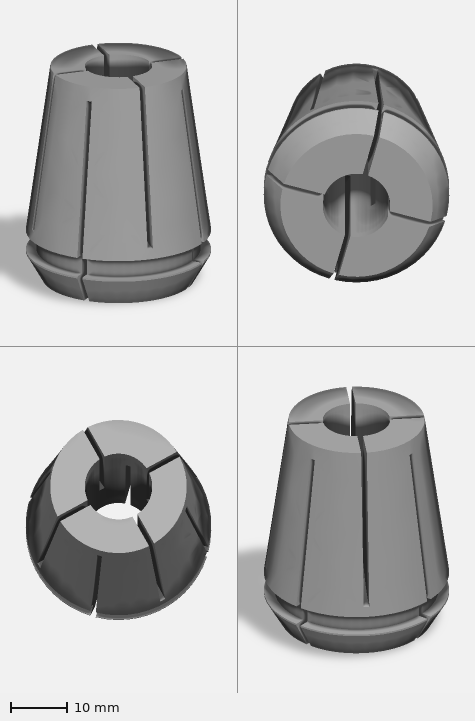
import cadquery as cq
import math

height = 40.0
outer_radius = 33.0 / 2
bore_radius = 6.0

taper_base_z = 9.0
taper_angle = math.radians(8)
taper_slope = math.tan(taper_angle)

groove_radius = 14.6
rim_top_z = 5.45
rim_height = 0.3
nose_angle = math.radians(30)

slot_width = 1.0
blade_radius = 16.0
slots_per_end = 4
lower_slot_outer_z = 37.4
lower_slot_bore_z = 31.2
upper_slot_outer_z = 10.9
upper_slot_bore_z = 14.55
clearance = 0.4


def taper_radius(z):
    """Outer radius of the long taper at height z."""
    return outer_radius - (z - taper_base_z) * taper_slope


def make_body():
    """Revolve the wall section, from bore to outer surface, about Z."""
    rim_bottom_z = rim_top_z - rim_height
    nose_radius = outer_radius - rim_bottom_z * math.tan(nose_angle)
    section = [
        (bore_radius, 0),
        (nose_radius, 0),
        (outer_radius, rim_bottom_z),
        (outer_radius, rim_top_z),
        (groove_radius, rim_top_z),
        (groove_radius, taper_base_z),
        (outer_radius, taper_base_z),
        (taper_radius(height), height),
        (bore_radius, height),
    ]
    return cq.Workplane("XZ").polyline(section).close().revolve(360, (0, 0), (0, 1))


def make_slot(open_z, bore_z, outer_z):
    """One radial slot along +X, open at open_z, with a blade-shaped end."""
    end_radius = taper_radius(outer_z)
    run = end_radius - bore_radius
    rise = outer_z - bore_z
    chord = math.hypot(run, rise)
    bulge = blade_radius - math.sqrt(blade_radius**2 - (chord / 2) ** 2)
    away = math.copysign(1, outer_z - open_z)
    arc_middle = (
        (bore_radius + end_radius) / 2 - bulge * abs(rise) / chord,
        (bore_z + outer_z) / 2 + bulge * away * run / chord,
    )
    outside = outer_radius + clearance
    past_end = open_z - away * clearance
    return (
        cq.Workplane("XZ")
        .moveTo(0, past_end)
        .lineTo(0, bore_z)
        .lineTo(bore_radius, bore_z)
        .threePointArc(arc_middle, (end_radius, outer_z))
        .lineTo(outside, outer_z)
        .lineTo(outside, past_end)
        .close()
        .extrude(slot_width / 2, both=True)
    )


pitch = 360 / slots_per_end
lower_slot = make_slot(0, lower_slot_bore_z, lower_slot_outer_z)
upper_slot = make_slot(height, upper_slot_bore_z, upper_slot_outer_z)

result = make_body()
for i in range(slots_per_end):
    result = result.cut(lower_slot.rotate((0, 0, 0), (0, 0, 1), i * pitch))
    result = result.cut(upper_slot.rotate((0, 0, 0), (0, 0, 1), (i + 0.5) * pitch))